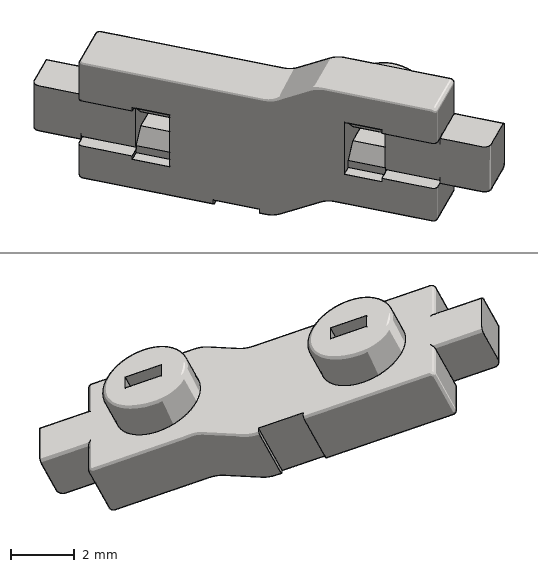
import cadquery as cq
import math


TOTAL_DEPTH = 3.0
FRONT_Y = -TOTAL_DEPTH / 2
BACK_Y = TOTAL_DEPTH / 2
BODY_DEPTH = 1.85
BODY_BACK_Y = FRONT_Y + BODY_DEPTH

BODY_LENGTH = 11.85
TOP_Z = 2.7
BOTTOM_Z = -TOP_Z
LEFT_TOP_Z = 1.83
RIGHT_BOTTOM_Z = -1.68
TOP_BEND_X = 0.51
BOTTOM_BEND_X = 0.53
BEND_ANGLE = 30
BEND_RADIUS = 1.0
EDGE_RADIUS = 0.15

TOTAL_LENGTH = 15.1
TAB_HEIGHT = 1.74
TAB_RECESS = 0.33
TAB_FRONT_Y = FRONT_Y + TAB_RECESS
TAB_FRONT_RADIUS = 0.23
TAB_BACK_RADIUS = 0.18
TAB_CENTRE_Z = 0.53
BOSS_X = 3.5
BOSS_DIAMETER = 2.9
BOSS_RIM_RADIUS = 0.18

WINDOW_LENGTH = 1.24
WINDOW_HEIGHT = 2.0
WINDOW_DEPTH = 0.38
THROAT_MOUTH_HEIGHT = 1.45
THROAT_HEIGHT = 0.55

NOTCH_START_X = -1.45
NOTCH_LENGTH = 1.53
NOTCH_DEPTH = 0.23


def box(x_min, x_max, y_min, y_max, z_centre, height):
    """Block between the given X and Y limits, centred on a height."""
    size_x = x_max - x_min
    size_y = y_max - y_min
    middle = ((x_min + x_max) / 2, (y_min + y_max) / 2, z_centre)
    return cq.Workplane("XY").box(size_x, size_y, height).translate(middle)


def make_body():
    """Stepped bar with rounded bends and rounded outer edges."""
    half_length = BODY_LENGTH / 2
    bend_slope = math.tan(math.radians(BEND_ANGLE))
    top_rise_x = TOP_BEND_X + (TOP_Z - LEFT_TOP_Z) / bend_slope
    bottom_rise_x = BOTTOM_BEND_X + (RIGHT_BOTTOM_Z - BOTTOM_Z) / bend_slope
    outline = [
        (-half_length, BOTTOM_Z),
        (BOTTOM_BEND_X, BOTTOM_Z),
        (bottom_rise_x, RIGHT_BOTTOM_Z),
        (half_length, RIGHT_BOTTOM_Z),
        (half_length, TOP_Z),
        (top_rise_x, TOP_Z),
        (TOP_BEND_X, LEFT_TOP_Z),
        (-half_length, LEFT_TOP_Z),
    ]
    body = (
        cq.Workplane("XZ", origin=(0, FRONT_Y, 0))
        .polyline(outline)
        .close()
        .extrude(-BODY_DEPTH)
    )
    body = body.edges("|Y except (<X or >X)").fillet(BEND_RADIUS)
    body = body.edges("|Y and (<X or >X)").fillet(EDGE_RADIUS)
    return body.faces("<Y or >Y").edges().fillet(EDGE_RADIUS)


def cut_notch(body):
    """Remove the shallow notch from the bottom edge, through the full depth."""
    notch_end_x = NOTCH_START_X + NOTCH_LENGTH
    notch = box(NOTCH_START_X, notch_end_x, FRONT_Y, BODY_BACK_Y, BOTTOM_Z, 2 * NOTCH_DEPTH)
    return body.cut(notch)


def add_tab(body, side):
    """Add the tab of one end (side is -1 or 1), lying in a slot open to the front."""
    centre_z = side * TAB_CENTRE_Z
    inner_x = BOSS_X + WINDOW_LENGTH / 2
    body_end_x = BODY_LENGTH / 2
    tab_end_x = TOTAL_LENGTH / 2

    def end_block(start_x, end_x):
        x_min, x_max = sorted((side * start_x, side * end_x))
        return box(x_min, x_max, TAB_FRONT_Y, BODY_BACK_Y, centre_z, TAB_HEIGHT)

    buried = end_block(inner_x, body_end_x).faces("<Y").edges("|X").fillet(TAB_FRONT_RADIUS)
    exposed = end_block(body_end_x, tab_end_x)
    end_face = ">X" if side > 0 else "<X"
    exposed = exposed.faces(end_face).edges("<Y").fillet(TAB_FRONT_RADIUS)
    tab = exposed.union(buried).faces(">Y").edges("|X").fillet(TAB_BACK_RADIUS)

    slot_min, slot_max = sorted((side * inner_x, side * body_end_x))
    slot = box(slot_min, slot_max, FRONT_Y, TAB_FRONT_Y + TAB_FRONT_RADIUS, centre_z, TAB_HEIGHT)
    return body.cut(slot).union(tab)


def add_boss(body, side):
    """Add the round boss on the back, with its rim rounded."""
    boss = (
        cq.Workplane("XZ", origin=(side * BOSS_X, BODY_BACK_Y, side * TAB_CENTRE_Z))
        .circle(BOSS_DIAMETER / 2)
        .extrude(BODY_BACK_Y - BACK_Y)
        .faces(">Y")
        .edges()
        .fillet(BOSS_RIM_RADIUS)
    )
    return body.union(boss)


def cut_window(body, side):
    """Cut the stepped window: a shallow recess, a 45 degree taper, then a narrow slit to the back."""
    step_y = FRONT_Y + WINDOW_DEPTH
    taper_end_y = step_y + (THROAT_MOUTH_HEIGHT - THROAT_HEIGHT) / 2
    half_profile = [
        (FRONT_Y, WINDOW_HEIGHT / 2),
        (step_y, WINDOW_HEIGHT / 2),
        (step_y, THROAT_MOUTH_HEIGHT / 2),
        (taper_end_y, THROAT_HEIGHT / 2),
        (BACK_Y, THROAT_HEIGHT / 2),
    ]
    mirrored = [(y, -z) for y, z in reversed(half_profile)]
    window = (
        cq.Workplane("YZ", origin=(side * BOSS_X, 0, side * TAB_CENTRE_Z))
        .polyline(half_profile + mirrored)
        .close()
        .extrude(WINDOW_LENGTH / 2, both=True)
    )
    return body.cut(window)


result = cut_notch(make_body())
for side in (-1, 1):
    result = add_boss(result, side)
    result = add_tab(result, side)
    result = cut_window(result, side)